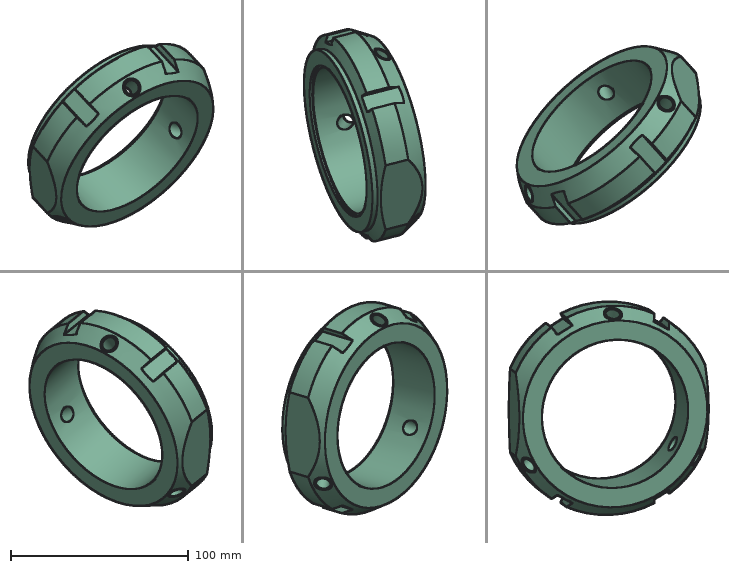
import cadquery as cq
import math

width = 32.0
outer_radius = 120 / 2
across_flats = 110.0
bore_radius = 85.0 / 2
recess_radius = 88.0 / 2
recess_depth = 1.5

collar_radius = 106.0 / 2
collar_width = 3.1
front_cone_angle = math.radians(60)
back_cone_angle = math.radians(30)
rim_start = collar_width + (outer_radius - collar_radius) / math.tan(front_cone_angle)
rim_end = 20.9
back_face_radius = outer_radius - (width - rim_end) * math.tan(back_cone_angle)

slot_angles = (30, 150, 210, 330)
slot_width = 10.0
slot_floor_radius = 56.0

hole_angles = (0, 120, 240)
hole_radius = 8.4 / 2
spot_face_radius = 10.2 / 2
spot_face_depth = 0.2
hole_x = 26.9
hole_depth = 24


def make_ring():
    """Revolve the ring section, with a shallow recess at the collar end of the bore."""
    section = (
        cq.Workplane("XZ")
        .moveTo(0, recess_radius)
        .lineTo(0, collar_radius)
        .lineTo(collar_width, collar_radius)
        .lineTo(rim_start, outer_radius)
        .lineTo(rim_end, outer_radius)
        .lineTo(width, back_face_radius)
        .lineTo(width, bore_radius)
        .lineTo(recess_depth, bore_radius)
        .lineTo(recess_depth, recess_radius)
        .close()
    )
    return section.revolve(360, (0, 0, 0), (1, 0, 0))


def cut_flats(body):
    """Trim the -Y and +Y sides to parallel flats."""
    envelope = cq.Workplane("XY").box(
        width, across_flats, 2 * outer_radius, centered=(False, True, True)
    )
    return body.intersect(envelope)


def make_slot():
    """Cutter for a full-width spanner slot at the top of the ring."""
    return (
        cq.Workplane("XY")
        .workplane(offset=slot_floor_radius)
        .rect(2 * width, slot_width)
        .extrude(outer_radius)
    )


def make_hole():
    """Cutter for a spot-faced hole entering the back cone at the top."""
    surface_radius = outer_radius - (hole_x - rim_end) * math.tan(back_cone_angle)
    mouth = cq.Vector(hole_x, 0, surface_radius)
    inward = cq.Vector(-math.sin(back_cone_angle), 0, -math.cos(back_cone_angle))
    drill = cq.Solid.makeCylinder(hole_radius, hole_depth, mouth, inward)
    spot_face = cq.Solid.makeCylinder(
        spot_face_radius,
        2 * spot_face_depth,
        mouth - inward * spot_face_depth,
        inward,
    )
    return cq.Workplane(drill.fuse(spot_face))


def cut_around(body, cutter, angles):
    """Cut copies of a cutter turned about the ring axis."""
    for angle in angles:
        body = body.cut(cutter.rotate((0, 0, 0), (1, 0, 0), angle))
    return body


result = cut_flats(make_ring())
result = cut_around(result, make_slot(), slot_angles)
result = cut_around(result, make_hole(), hole_angles)